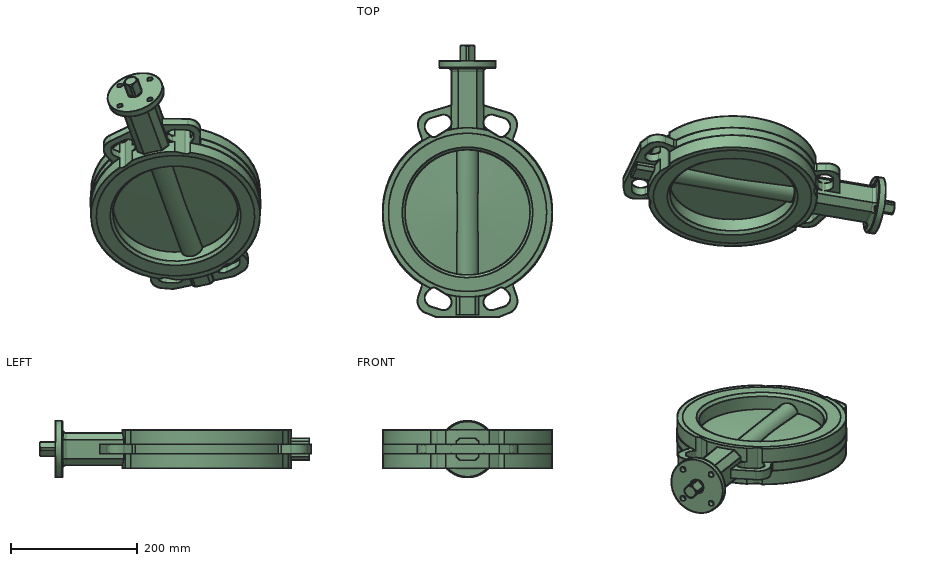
import cadquery as cq


ring_radius = 134.0
ring_half_height = 30.5
band_radius = 135.0
band_half_height = 7.5

liner_radius = 125.5
liner_bore_radius = 99.0
liner_chamfer_width = 4.5
liner_chamfer_height = 5.0
disc_hub_radius = 17.5
disc_centre_half_thickness = 7.5
disc_rim_half_thickness = 3.5

ear_root_x = 73.0
ear_root_y = 118.0
ear_corner_x = 85.0
ear_corner_y = 152.0
ear_corner_radius = 20.5
corner_margin = 0.5
lower_ear_flat_half_width = 50.0
lower_ear_end = 166.0
upper_ear_end = 170.0

ear_opening_circles = [
    (38.0, 142.2, 12.5),
    (53.5, 135.8, 14.2),
    (53.5, 128.0, 8.5),
]

neck_width = 51.5
neck_chamfer = 10.8
neck_fillet = 5.0
flange_diameter = 90.0
flange_radius = flange_diameter / 2
flange_bottom = 228.5
flange_top = 240.0
flange_chamfer = 1.5
bolt_count = 4
bolt_circle_radius = 35.0
bolt_hole_radius = 4.5
lug_width = 35.0
lug_chamfer = 5.0
lug_end = 162.5

stem_top = 265.0
stem_bottom = -146.5
stem_radius = 11.5
stem_square = 19.0
stem_tip_chamfer = 2.0
diagonal_angle = 45


def cylinder_z(radius, half_height):
    return cq.Workplane("XY").circle(radius).extrude(half_height, both=True)


def plane_along_y(y):
    """Work plane at height y along the stem, with its normal along +Y."""
    return cq.Workplane("ZX", origin=(0, y, 0))


def cylinder_y(radius, y_start, y_end):
    return plane_along_y(y_start).circle(radius).extrude(y_end - y_start)


def octagonal_bar(width, chamfer, y_start, y_end):
    """Square bar along Y with its four long edges chamfered."""
    bar = plane_along_y(y_start).rect(width, width).extrude(y_end - y_start)
    return bar.edges("|Y").chamfer(chamfer)


def ear_plate(end_half_width, end, side):
    """Plate carrying one pair of ears; side is +1 toward +Y and -1 toward -Y."""
    right_half = [
        (ear_root_x, 0),
        (ear_root_x, side * ear_root_y),
        (ear_corner_x, side * ear_corner_y),
        (end_half_width, side * end),
    ]
    left_half = [(-x, y) for x, y in reversed(right_half)]
    plate = cq.Workplane("XY").polyline(right_half + left_half).close()
    plate = plate.extrude(band_half_height, both=True)
    for x_side in (1, -1):
        corner = (x_side * ear_corner_x, side * ear_corner_y)
        selector = cq.selectors.BoxSelector(
            (corner[0] - corner_margin, corner[1] - corner_margin, -band_half_height),
            (corner[0] + corner_margin, corner[1] + corner_margin, band_half_height),
        )
        plate = plate.edges(selector).fillet(ear_corner_radius)
    return plate


def ear_opening(x_side, y_side):
    """Opening that runs the full height of the ring, so it also notches the ring's edge."""
    outline = cq.Sketch()
    for x, y, radius in ear_opening_circles:
        outline = outline.arc((x_side * x, y_side * y), radius, 0, 360)
    outline = outline.hull()
    return cq.Workplane("XY").placeSketch(outline).extrude(ring_half_height, both=True)


def neck_with_flange():
    flange = cylinder_y(flange_radius, flange_bottom, flange_top)
    flange = flange.faces("<Y").edges().chamfer(flange_chamfer)
    neck = octagonal_bar(neck_width, neck_chamfer, 0, flange_bottom).union(flange)
    reach = neck_width / 2 + flange_chamfer
    root_edges = cq.selectors.BoxSelector(
        (-reach, flange_bottom - flange_chamfer / 2, -reach),
        (reach, flange_bottom + flange_chamfer / 2, reach),
    )
    neck = neck.edges(root_edges).edges("%LINE").fillet(neck_fillet)
    hole_length = flange_top - flange_bottom + neck_fillet
    holes = (
        plane_along_y(flange_bottom - neck_fillet)
        .polarArray(bolt_circle_radius, diagonal_angle, 360, bolt_count)
        .circle(bolt_hole_radius)
        .extrude(hole_length)
    )
    return neck.cut(holes)


def make_stem():
    round_shaft = cylinder_y(stem_radius, stem_bottom, flange_top)
    square_end = (
        plane_along_y(flange_top)
        .transformed(rotate=(0, 0, diagonal_angle))
        .rect(stem_square, stem_square)
        .extrude(stem_top - flange_top)
    )
    rounded_end = cylinder_y(stem_radius, flange_top, stem_top)
    rounded_end = rounded_end.faces(">Y").edges().chamfer(stem_tip_chamfer)
    return round_shaft.union(square_end.intersect(rounded_end))


def make_housing(stem):
    housing = cylinder_z(ring_radius, ring_half_height)
    housing = housing.union(cylinder_z(band_radius, band_half_height))
    housing = housing.union(ear_plate(neck_width / 2, upper_ear_end, 1))
    housing = housing.union(ear_plate(lower_ear_flat_half_width, lower_ear_end, -1))
    for x_side in (1, -1):
        for y_side in (1, -1):
            housing = housing.cut(ear_opening(x_side, y_side))
    housing = housing.union(neck_with_flange())
    housing = housing.union(octagonal_bar(lug_width, lug_chamfer, -lug_end, 0))
    return housing.cut(cylinder_z(liner_radius, ring_half_height)).cut(stem)


def make_liner(stem):
    mouth_radius = liner_bore_radius + liner_chamfer_width
    chamfer_start = ring_half_height - liner_chamfer_height
    profile = [
        (liner_radius, -ring_half_height),
        (liner_radius, ring_half_height),
        (mouth_radius, ring_half_height),
        (liner_bore_radius, chamfer_start),
        (liner_bore_radius, -chamfer_start),
        (mouth_radius, -ring_half_height),
    ]
    liner = cq.Workplane("XZ").polyline(profile).close().revolve(360, (0, 0), (0, 1))
    return liner.cut(stem)


def make_disc(stem):
    """Double-cone disc with a hub tube across it, filling the liner bore."""
    profile = [
        (0, -disc_centre_half_thickness),
        (liner_bore_radius, -disc_rim_half_thickness),
        (liner_bore_radius, disc_rim_half_thickness),
        (0, disc_centre_half_thickness),
    ]
    cones = cq.Workplane("XZ").polyline(profile).close().revolve(360, (0, 0), (0, 1))
    hub = cylinder_y(disc_hub_radius, -liner_bore_radius, liner_bore_radius)
    hub = hub.intersect(cylinder_z(liner_bore_radius, ring_half_height))
    return cones.union(hub).cut(stem)


stem = make_stem()
housing = make_housing(stem)
liner = make_liner(stem)
disc = make_disc(stem)

result = cq.Compound.makeCompound([housing.val(), liner.val(), disc.val(), stem.val()])